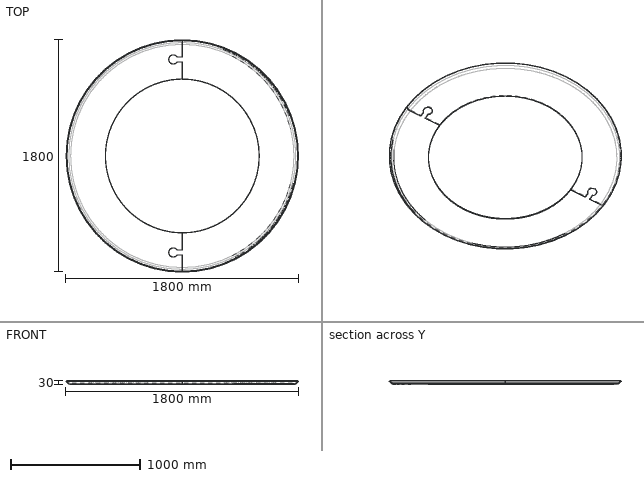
import cadquery as cq
import math

outer_radius = 900.0
bore_radius = 595.0
height = 30.0
thickness = 10.0
flare_angle = math.radians(45)
inner_bend_radius = 20.0
outer_bend_radius = inner_bend_radius + thickness

joint_radius = (bore_radius + outer_radius) / 2
tab_head_radius = 35.0
tab_head_offset = 70.0
tab_neck_width = 40.0
joint_gap_width = 1.0
joint_web_thickness = 0.5

lip_inner_radius = outer_radius - thickness * math.sin(flare_angle)
lip_outer_level = height - thickness * math.cos(flare_angle)
floor_edge_radius = lip_inner_radius - (height - thickness) / math.tan(flare_angle)
bend_radius = floor_edge_radius - inner_bend_radius * math.tan(flare_angle / 2)
bend_level = thickness + inner_bend_radius


def bend_point(radius, angle):
    """Point on a bend arc, with the angle measured from straight down."""
    return (bend_radius + radius * math.sin(angle), bend_level - radius * math.cos(angle))


def flared_ring():
    """Constant-thickness section revolved about the Z axis."""
    axis_start, axis_end = (0, 0, 0), (0, 1, 0)
    section = (
        cq.Workplane("XZ")
        .moveTo(bore_radius, 0)
        .lineTo(bend_radius, 0)
        .threePointArc(
            bend_point(outer_bend_radius, flare_angle / 2),
            bend_point(outer_bend_radius, flare_angle),
        )
        .lineTo(outer_radius, lip_outer_level)
        .lineTo(lip_inner_radius, height)
        .lineTo(*bend_point(inner_bend_radius, flare_angle))
        .threePointArc(
            bend_point(inner_bend_radius, flare_angle / 2),
            bend_point(inner_bend_radius, 0),
        )
        .lineTo(bore_radius, thickness)
        .close()
    )
    return section.revolve(360, axis_start, axis_end)


def tab_side(clearance):
    """Block covering the +X half ring and its two jigsaw tabs, grown by a clearance."""
    block = (
        cq.Workplane("XY")
        .box(outer_radius + clearance, 2 * outer_radius, height, centered=(False, True, False))
        .translate((-clearance, 0, 0))
    )
    for side in (1, -1):
        tab_y = side * joint_radius
        neck_width = tab_neck_width + 2 * clearance
        neck = cq.Workplane("XY").center(0, tab_y).rect(2 * tab_head_offset, neck_width)
        head = cq.Workplane("XY").center(-tab_head_offset, tab_y).circle(tab_head_radius + clearance)
        block = block.union(neck.extrude(height)).union(head.extrude(height))
    return block


def joint_gap():
    """Narrow gap along the joint line of both tabs, open above the thin web."""
    half_gap = joint_gap_width / 2
    band = tab_side(half_gap).cut(tab_side(-half_gap))
    return band.translate((0, 0, joint_web_thickness))


result = flared_ring().cut(joint_gap())